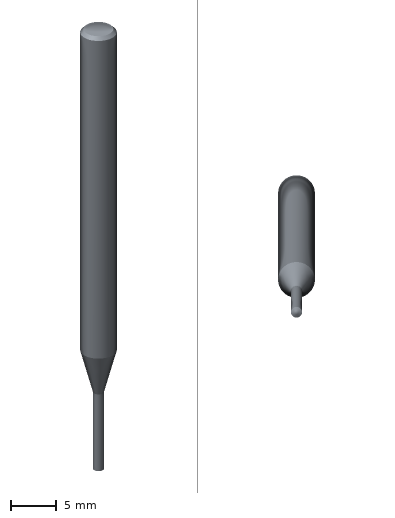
import cadquery as cq
import math

total_length = 55.0
shank_diameter = 4.0
cutter_diameter = 1.2
neck_diameter = cutter_diameter
shank_bottom_z = 15.0
cutter_top_z = 8.5
taper_half_angle = 15.0
point_angle = 140.0
top_chamfer_width = 0.4
top_chamfer_height = 0.4

shank_radius = shank_diameter / 2
neck_radius = neck_diameter / 2
cutter_radius = cutter_diameter / 2
taper_height = (shank_radius - neck_radius) / math.tan(math.radians(taper_half_angle))
neck_top_z = shank_bottom_z - taper_height
point_height = cutter_radius / math.tan(math.radians(point_angle / 2))


def revolve_profile(points):
    """Revolve a closed (radius, z) outline about the Z axis."""
    return cq.Workplane("XZ").polyline(points).close().revolve(360, (0, 0, 0), (0, 1, 0))


def make_holder():
    """Chamfered shank, taper and neck, ending flat on the cutter."""
    return revolve_profile([
        (0, cutter_top_z),
        (neck_radius, cutter_top_z),
        (neck_radius, neck_top_z),
        (shank_radius, shank_bottom_z),
        (shank_radius, total_length - top_chamfer_height),
        (shank_radius - top_chamfer_width, total_length),
        (0, total_length),
    ])


def make_cutter():
    """Plain cylindrical cutting part with a conical drill point."""
    return revolve_profile([
        (0, 0),
        (cutter_radius, point_height),
        (cutter_radius, cutter_top_z),
        (0, cutter_top_z),
    ])


holder = make_holder()
cutter = make_cutter()

result = cq.Compound.makeCompound([holder.val(), cutter.val()])